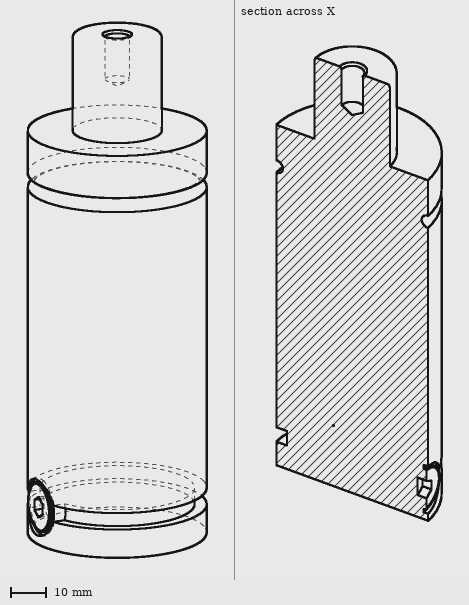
import cadquery as cq
import math

body_diameter = 50.0
body_radius = body_diameter / 2
total_height = 145.0
body_height = 117.0

rod_diameter = 25.0
rod_fillet = 1.0
rod_hole_diameter = 6.8
rod_hole_mouth_diameter = 8.3
rod_hole_depth = 13.0
drill_point_angle = 118.0

upper_groove_bottom = 100.6
upper_groove_top = 104.7
upper_groove_depth = 2.0

lower_groove_bottom = 8.3
lower_groove_top = 13.0
lower_groove_radius = 21.6

plug_height = 10.6
boss_diameter = 16.1
plug_diameter = 14.0
plug_chamfer = 0.5
plug_face_distance = 24.5
seat_distance = 23.6
hex_across_flats = 5.1
hex_depth = 2.9


def front_cylinder(diameter, start, end):
    """Cylinder on the plug axis between two distances from the body axis."""
    plane = cq.Plane(origin=(0, -start, plug_height), xDir=(1, 0, 0), normal=(0, -1, 0))
    return cq.Workplane(plane).circle(diameter / 2).extrude(end - start)


def make_body():
    """Grooved cylinder."""
    body = cq.Workplane("XY").circle(body_radius).extrude(body_height)
    upper_groove = (
        cq.Workplane("XZ")
        .moveTo(body_radius, upper_groove_bottom)
        .threePointArc(
            (body_radius - upper_groove_depth, (upper_groove_bottom + upper_groove_top) / 2),
            (body_radius, upper_groove_top),
        )
        .close()
        .revolve(360, (0, 0, 0), (0, 1, 0))
    )
    lower_groove = (
        cq.Workplane("XY", origin=(0, 0, lower_groove_bottom))
        .circle(body_diameter)
        .circle(lower_groove_radius)
        .extrude(lower_groove_top - lower_groove_bottom)
    )
    lower_groove = lower_groove.cut(front_cylinder(boss_diameter, 0, body_diameter))
    return body.cut(upper_groove).cut(lower_groove)


def make_rod():
    """Piston rod with a rounded end."""
    return (
        cq.Workplane("XY", origin=(0, 0, body_height))
        .circle(rod_diameter / 2)
        .extrude(total_height - body_height)
        .faces(">Z").edges()
        .fillet(rod_fillet)
    )


def make_rod_hole():
    """Drilled hole with a conical bottom and a 45 degree mouth, as a cutting tool."""
    radius = rod_hole_diameter / 2
    mouth_radius = rod_hole_mouth_diameter / 2
    floor = total_height - rod_hole_depth
    point_length = radius / math.tan(math.radians(drill_point_angle / 2))
    return (
        cq.Workplane("XZ")
        .moveTo(0, floor - point_length)
        .lineTo(radius, floor)
        .lineTo(radius, total_height - (mouth_radius - radius))
        .lineTo(mouth_radius, total_height)
        .lineTo(0, total_height)
        .close()
        .revolve(360, (0, 0, 0), (0, 1, 0))
    )


def add_plug(part):
    """Flat seat on the boss, carrying the raised plug with its hex socket."""
    seat = front_cylinder(boss_diameter, seat_distance, body_diameter)
    plug = front_cylinder(plug_diameter, lower_groove_radius, plug_face_distance)
    plug = plug.faces("<Y").chamfer(plug_chamfer)
    socket_plane = cq.Plane(
        origin=(0, -plug_face_distance, plug_height), xDir=(0, 0, 1), normal=(0, -1, 0)
    )
    hex_across_corners = hex_across_flats / math.cos(math.pi / 6)
    socket = cq.Workplane(socket_plane).polygon(6, hex_across_corners).extrude(-hex_depth)
    return part.cut(seat).union(plug).cut(socket)


result = add_plug(make_body().union(make_rod()).cut(make_rod_hole()))